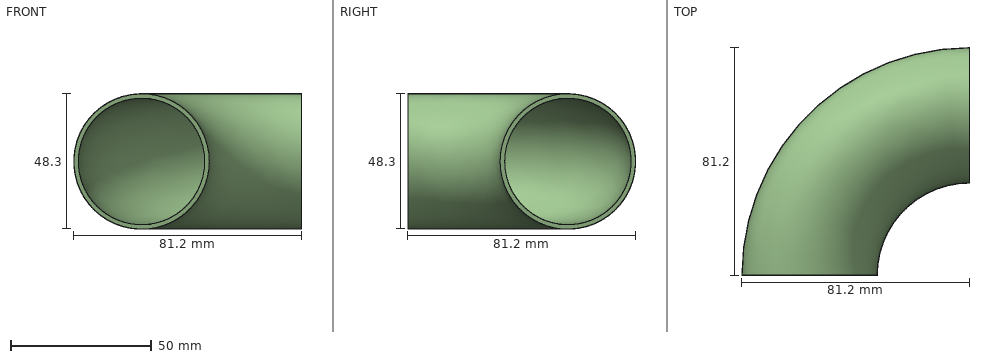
import cadquery as cq

overall_size = 81.15
outer_diameter = 48.3
wall_thickness = 1.6
bend_angle = 90.0

outer_radius = outer_diameter / 2
inner_radius = outer_radius - wall_thickness
bend_radius = overall_size - outer_radius

axis_start = (bend_radius, 0)
axis_end = (bend_radius, -1)

result = (
    cq.Workplane("XZ")
    .circle(outer_radius)
    .circle(inner_radius)
    .revolve(bend_angle, axis_start, axis_end)
)